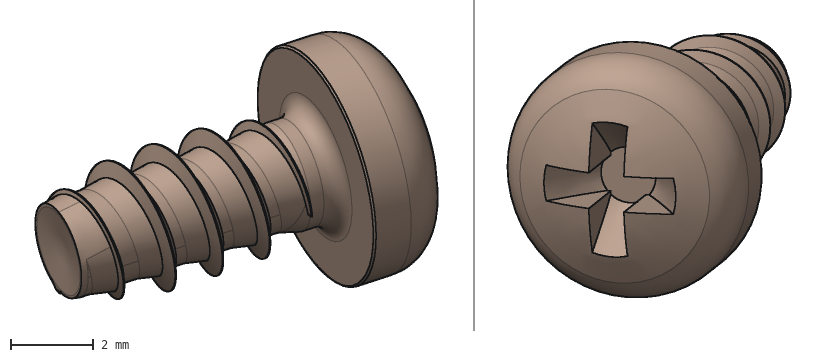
import cadquery as cq
import math


head_radius = 3.05
head_rim_height = 1.0
head_edge_chamfer = 0.05
shoulder_radius = 1.21
shoulder_top_radius = 2.43
dome_apex = 2.67
shoulder_center = head_radius - shoulder_radius
shoulder_top = head_rim_height + math.sqrt(shoulder_radius**2 - (shoulder_top_radius - shoulder_center) ** 2)
dome_drop = dome_apex - shoulder_top
dome_radius = (shoulder_top_radius**2 + dome_drop**2) / (2 * dome_drop)

wing_width = 0.9
recess_rim_radius = 1.69
recess_floor_radius = 0.7
recess_depth = 1.6

shank_length = 7.0
neck_radius = 1.38
neck_fillet = 0.5
neck_end = -0.86
core_radius = 1.23
core_start = -1.45
tip_cone_radius = 1.12
tip_cone_depth = 0.15
tip_allowance = 1.5
tip_radius = 1.2
tip_taper_length = 0.95
tip_taper_growth = 0.18

pitch = 1.287
crest_radius = 1.76
crest_half_width = 0.015
head_flank_foot = -0.28
head_flank_break = -0.12
break_radius = 1.5
tip_flank_foot = 0.145
band_radius = 1.335
band_end = 0.72
band_overlap = 0.01
buried_radius = 1.0

first_crest = -0.892
tooth_start = -0.02
full_height_start = 1.0
full_height_end = 3.25
tooth_end = 4.8
band_start = -0.5
band_end_turn = 5.2
start_ramp = 0.28
end_ramp = 0.33
points_per_turn = 12


def dome_height(radius):
    """Height of the spherical top of the head at a distance from the axis."""
    return dome_apex - dome_radius + math.sqrt(dome_radius**2 - radius**2)


def extend(p, q, radius):
    """Point at the given radius on the straight line through p and q."""
    share = (radius - p[1]) / (q[1] - p[1])
    return (p[0] + share * (q[0] - p[0]), radius)


def tooth_sink(turn):
    """Depth by which the tooth is sunk into the core near its two ends."""
    if turn < full_height_start:
        return start_ramp * (full_height_start - turn)
    if turn > full_height_end:
        return end_ramp * (turn - full_height_end)
    return 0.0


def place_helix(solid, start):
    """Move a solid climbing a helix along +Z so that it runs toward the tip from a given turn."""
    solid = solid.translate((0, 0, pitch * start - first_crest))
    solid = solid.rotate((0, 0, 0), (0, 0, 1), 360 * start)
    return solid.rotate((0, 0, 0), (1, 0, 0), 90)


def make_tooth():
    """Right-handed cutting tooth whose ends run down into the core."""
    head_foot = (head_flank_foot, core_radius)
    head_break = (head_flank_break, break_radius)
    tip_crest = (crest_half_width, crest_radius)
    tip_foot = (tip_flank_foot, band_radius)
    corners = [
        extend(head_foot, head_break, buried_radius),
        head_break,
        (-crest_half_width, crest_radius),
        tip_crest,
        extend(tip_crest, tip_foot, buried_radius),
    ]
    profile = [(radius - tooth_sink(tooth_start), offset) for offset, radius in corners]
    run = tooth_end - tooth_start
    steps = round(run * points_per_turn)
    path_points = []
    for i in range(steps + 1):
        turned = run * i / steps
        radius = crest_radius - tooth_sink(tooth_start + turned)
        angle = 2 * math.pi * turned
        path_points.append(cq.Vector(radius * math.cos(angle), radius * math.sin(angle), pitch * turned))
    path = cq.Workplane(cq.Edge.makeSpline(path_points))
    tooth = cq.Workplane("XZ").polyline(profile).close().sweep(path, isFrenet=True)
    return place_helix(tooth, tooth_start)


def make_band():
    """Helical band between the teeth that narrows the core toward the tip-side groove."""
    slope = (band_radius - core_radius) / (band_end - tip_flank_foot)
    tip_foot = (tip_flank_foot, band_radius)
    tip_end = extend(tip_foot, (band_end, core_radius), core_radius - band_overlap)
    profile = [
        (buried_radius, 0),
        (band_radius + slope * tip_flank_foot, 0),
        (tip_end[1], tip_end[0]),
        (buried_radius, tip_end[0]),
    ]
    path = cq.Wire.makeHelix(pitch, pitch * (band_end_turn - band_start), core_radius)
    band = cq.Workplane("XZ").polyline(profile).close().sweep(cq.Workplane(path), isFrenet=True)
    return place_helix(band, band_start)


def make_blank():
    """Head, neck and core turned as one body, with the core left long at the tip."""
    shoulder_mid = (
        shoulder_center + shoulder_radius * math.cos(math.radians(30)),
        head_rim_height + shoulder_radius * math.sin(math.radians(30)),
    )
    dome_mid_radius = shoulder_top_radius / 2
    fillet_reach = neck_fillet * (1 - math.sqrt(0.5))
    return (
        cq.Workplane("XY")
        .moveTo(0, dome_apex)
        .threePointArc((dome_mid_radius, dome_height(dome_mid_radius)), (shoulder_top_radius, shoulder_top))
        .threePointArc(shoulder_mid, (head_radius, head_rim_height))
        .lineTo(head_radius, head_edge_chamfer)
        .lineTo(head_radius - head_edge_chamfer, 0)
        .lineTo(neck_radius + neck_fillet, 0)
        .threePointArc((neck_radius + fillet_reach, -fillet_reach), (neck_radius, -neck_fillet))
        .lineTo(neck_radius, neck_end)
        .lineTo(core_radius, core_start)
        .lineTo(core_radius, -shank_length - tip_allowance)
        .lineTo(0, -shank_length - tip_allowance)
        .close()
        .revolve(360, (0, 0, 0), (0, 1, 0))
    )


def make_tip_taper():
    """Ring that, when cut away, tapers the end of the core and band toward the tip."""
    ring = cq.Workplane("XZ", origin=(0, tip_taper_length - shank_length, 0)).circle(head_radius)
    ring = ring.extrude(tip_taper_length)
    kept_cone = cq.Workplane(
        cq.Solid.makeCone(
            tip_radius,
            tip_radius + tip_taper_growth,
            tip_taper_length,
            cq.Vector(0, -shank_length, 0),
            cq.Vector(0, 1, 0),
        )
    )
    return ring.cut(kept_cone)


def make_recess():
    """Four-winged recess whose wing ends taper inward toward a flat floor."""
    dome_clear = dome_apex + 1
    floor = dome_apex - recess_depth
    rim = dome_height(recess_rim_radius)
    top_radius = recess_floor_radius + (dome_clear - floor) / (rim - floor) * (
        recess_rim_radius - recess_floor_radius
    )
    cone = cq.Workplane(
        cq.Solid.makeCone(
            recess_floor_radius, top_radius, dome_clear - floor, cq.Vector(0, floor, 0), cq.Vector(0, 1, 0)
        )
    )
    plane = cq.Workplane("XZ", origin=(0, dome_clear, 0))
    cross = plane.rect(2 * head_radius, wing_width).extrude(dome_clear)
    cross = cross.union(plane.rect(wing_width, 2 * head_radius).extrude(dome_clear))
    return cross.intersect(cone)


def make_tip_cut():
    """Everything beyond the end of the shank, plus the shallow cone in the tip."""
    beyond = cq.Workplane("XZ", origin=(0, -shank_length, 0)).circle(head_radius).extrude(2 * tip_allowance)
    hollow = cq.Workplane(
        cq.Solid.makeCone(
            tip_cone_radius, 0, tip_cone_depth, cq.Vector(0, -shank_length, 0), cq.Vector(0, 1, 0)
        )
    )
    return beyond.union(hollow)


shank = make_blank().union(make_band()).cut(make_tip_taper())
screw = shank.union(make_tooth())
result = screw.cut(make_tip_cut()).cut(make_recess())